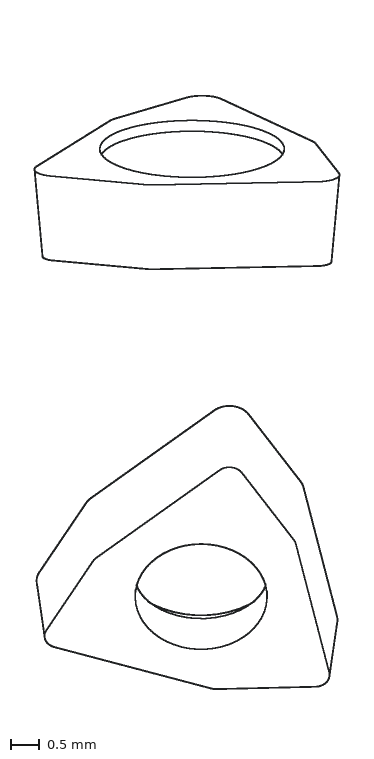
import cadquery as cq
import math

thickness = 1.59
relief_angle = 5
long_edge_distance = 1.985
short_edge_distance = 2.16
short_edge_normal = -90
edge_turn = 20
corner_radius = 0.395
sides = 3

rim_radius = 1.605
throat_radius = 1.145
rim_depth = 0.2
seat_radius = 1.0


def edge_crossing(angle_a, distance_a, angle_b, distance_b):
    """Crossing of two lines, each given by its normal angle and distance from the axis."""
    a = math.radians(angle_a)
    b = math.radians(angle_b)
    spread = math.sin(b - a)
    x = (distance_a * math.sin(b) - distance_b * math.sin(a)) / spread
    y = (distance_b * math.cos(a) - distance_a * math.cos(b)) / spread
    return x, y


def trigon_body():
    """Trigon with all vertical edges rounded, the radius shrinking with the relief."""
    inset = thickness * math.tan(math.radians(relief_angle))
    outlines = []
    for height, offset in ((0, inset), (thickness, 0)):
        short_distance = short_edge_distance - offset
        long_distance = long_edge_distance - offset
        points = []
        for side in range(sides):
            short_angle = short_edge_normal + side * 360 / sides
            long_angle = short_angle + edge_turn
            next_short_angle = short_angle + 360 / sides
            points.append(edge_crossing(short_angle, short_distance, long_angle, long_distance))
            points.append(edge_crossing(long_angle, long_distance, next_short_angle, short_distance))
        wire = cq.Workplane("XY").polyline(points).close().val()
        rounded = wire.fillet2D(corner_radius - offset, wire.Vertices())
        outlines.append(rounded.translate(cq.Vector(0, 0, height)))
    return cq.Workplane(cq.Solid.makeLoft(outlines, True))


def screw_hole():
    """Revolved hole whose seat arc runs tangent into the throat."""
    seat_angle = math.acos(1 - (rim_radius - throat_radius) / seat_radius)
    rim_z = thickness - rim_depth
    throat_z = rim_z - seat_radius * math.sin(seat_angle)
    seat_middle = (
        throat_radius + seat_radius * (1 - math.cos(seat_angle / 2)),
        throat_z + seat_radius * math.sin(seat_angle / 2),
    )
    return (
        cq.Workplane("XZ")
        .moveTo(0, 0)
        .lineTo(throat_radius, 0)
        .lineTo(throat_radius, throat_z)
        .threePointArc(seat_middle, (rim_radius, rim_z))
        .lineTo(rim_radius, thickness)
        .lineTo(0, thickness)
        .close()
        .revolve(360, (0, 0, 0), (0, 1, 0))
    )


result = trigon_body().cut(screw_hole())